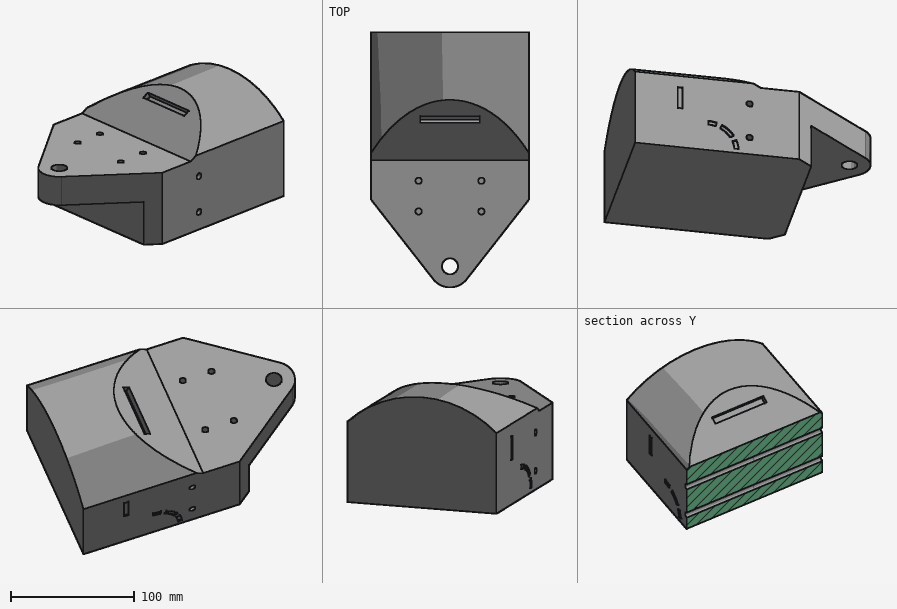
import cadquery as cq
import math

length = 207.0
width = 128.3
height = 92.0
half_width = width / 2

deck_height = 63.7
slope_foot_y = 103.0
slope_angle = 30.0
undercut_y = 59.5
undercut_height = 38.3

wall_height = 67.0

nose_radius = 17.2
nose_start_y = 71.5
eye_diameter = 12.8

pin_diameter = 5.2
cross_hole_y = 112.4
cross_hole_heights = (15.7, 47.5)
deck_hole_spacing_x = 51.0
deck_hole_spacing_y = 24.8
deck_hole_center_y = 74.0
deck_hole_depth = 10.0

slope_slot_length = 48.5
slope_slot_width = 6.0
slope_slot_center = 38.3
slope_slot_depth = 5.0

side_recess_depth = 1.0
side_slot_y = 169.7
side_slot_z = 46.8
side_slot_width = 4.0
side_slot_height = 19.7
arc_center_y = 146.5
arc_center_z = 2.5
arc_outer_radius = 25.2
arc_width = 3.5
arc_spans = ((3.5, 22.5), (33.0, 63.0), (73.5, 90.0))


def make_plan():
    """Full-height prism of the plan outline, with the sides tangent to the nose."""
    corner_dy = nose_start_y - nose_radius
    corner_distance = math.hypot(half_width, corner_dy)
    tangent_angle = math.atan2(corner_dy, half_width) - math.acos(nose_radius / corner_distance)
    tangent_x = nose_radius * math.cos(tangent_angle)
    tangent_y = nose_radius + nose_radius * math.sin(tangent_angle)
    return (
        cq.Workplane("XY")
        .moveTo(-half_width, length)
        .lineTo(-half_width, nose_start_y)
        .lineTo(-tangent_x, tangent_y)
        .threePointArc((0, 0), (tangent_x, tangent_y))
        .lineTo(half_width, nose_start_y)
        .lineTo(half_width, length)
        .close()
        .extrude(height)
    )


def make_side_profile():
    """Side outline with the sloping face, the deck and the undercut nose."""
    slope_top_y = slope_foot_y + (height - deck_height) / math.tan(math.radians(slope_angle))
    outline = [
        (length, 0),
        (length, height),
        (slope_top_y, height),
        (slope_foot_y, deck_height),
        (0, deck_height),
        (0, undercut_height),
        (undercut_y, undercut_height),
        (undercut_y, 0),
    ]
    return cq.Workplane("YZ").polyline(outline).close().extrude(half_width, both=True)


def make_front_profile():
    """Straight side walls under the arched roof."""
    return (
        cq.Workplane("XZ")
        .moveTo(-half_width, 0)
        .lineTo(-half_width, wall_height)
        .threePointArc((0, height), (half_width, wall_height))
        .lineTo(half_width, 0)
        .close()
        .extrude(-length)
    )


def make_eye_hole():
    return cq.Workplane("XY").center(0, nose_radius).circle(eye_diameter / 2).extrude(height)


def make_deck_holes():
    return (
        cq.Workplane("XY", origin=(0, deck_hole_center_y, deck_height))
        .rarray(deck_hole_spacing_x, deck_hole_spacing_y, 2, 2)
        .circle(pin_diameter / 2)
        .extrude(-deck_hole_depth)
    )


def make_cross_holes():
    centers = [(cross_hole_y, z) for z in cross_hole_heights]
    return (
        cq.Workplane("YZ")
        .pushPoints(centers)
        .circle(pin_diameter / 2)
        .extrude(half_width, both=True)
    )


def make_slope_slot():
    """Slot cut square to the sloping face."""
    angle = math.radians(slope_angle)
    face = cq.Plane(
        origin=(0, slope_foot_y, deck_height),
        xDir=(1, 0, 0),
        normal=(0, -math.sin(angle), math.cos(angle)),
    )
    return (
        cq.Workplane(face)
        .center(0, slope_slot_center)
        .rect(slope_slot_length, slope_slot_width)
        .extrude(-slope_slot_depth)
    )


def side_wall():
    """Sketching plane on the -X wall, with Y and Z as its axes."""
    return cq.Workplane("YZ", origin=(-half_width, 0, 0))


def make_side_slot():
    return (
        side_wall()
        .center(side_slot_y, side_slot_z)
        .rect(side_slot_width, side_slot_height)
        .extrude(side_recess_depth)
    )


def arc_point(radius, degrees):
    """Point around the arc centre, measured upwards from the -Y direction."""
    angle = math.radians(degrees)
    return (arc_center_y - radius * math.cos(angle), arc_center_z + radius * math.sin(angle))


def make_arc_slot(start, end):
    inner_radius = arc_outer_radius - arc_width
    middle = (start + end) / 2
    return (
        side_wall()
        .moveTo(*arc_point(arc_outer_radius, start))
        .threePointArc(arc_point(arc_outer_radius, middle), arc_point(arc_outer_radius, end))
        .lineTo(*arc_point(inner_radius, end))
        .threePointArc(arc_point(inner_radius, middle), arc_point(inner_radius, start))
        .close()
        .extrude(side_recess_depth)
    )


result = make_plan().intersect(make_side_profile()).intersect(make_front_profile())
result = result.cut(make_eye_hole()).cut(make_deck_holes()).cut(make_cross_holes())
result = result.cut(make_slope_slot()).cut(make_side_slot())
for span_start, span_end in arc_spans:
    result = result.cut(make_arc_slot(span_start, span_end))